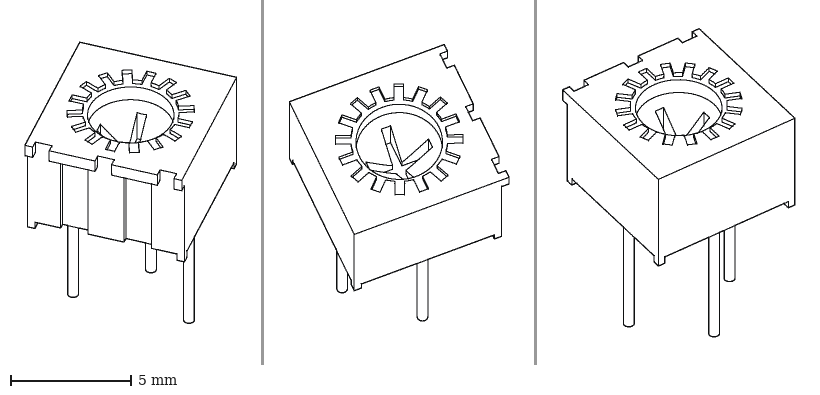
import cadquery as cq

width = 6.9
depth = 7.0
total_height = 10.7
body_height = 4.39
half_width = width / 2
back_y = depth / 2

lip_projection = 0.34
lip_height = 0.57
front_y = -depth / 2 + lip_projection
notch_width = 0.73
notch_pitch = 2.74

groove_width = 1.2
groove_depth = 0.25
groove_offset = 1.39

foot_size = 0.33
foot_height = 0.34

dial_depth = 0.2
dial_radius = 2.01
tick_count = 16
tick_width = 0.41
tick_reach = 2.64

bowl_radius = 3.6 / 2
bowl_wall_height = 0.7
cone_depth = bowl_radius
cross_length = 2.82
cross_width = 0.42
bowl_rim_z = -dial_depth - bowl_wall_height
bowl_bottom_z = bowl_rim_z - cone_depth

pin_diameter = 0.46
pin_pitch = 2.55
pin_row_y = 0.03
pin_length = total_height - body_height
pin_positions = [(-pin_pitch, pin_row_y), (0, pin_row_y + pin_pitch), (pin_pitch, pin_row_y)]


def box(x_range, y_range, z_range):
    """Axis-aligned block spanning the given (low, high) ranges."""
    size = [high - low for low, high in (x_range, y_range, z_range)]
    corner = (x_range[0], y_range[0], z_range[0])
    return cq.Workplane("XY").box(*size, centered=False).translate(corner)


def make_block():
    """Main block with the notched lip and the front grooves."""
    block = box((-half_width, half_width), (front_y, back_y), (-body_height, 0))
    for x in (-groove_offset, groove_offset):
        block = block.cut(box(
            (x - groove_width / 2, x + groove_width / 2),
            (front_y, front_y + groove_depth),
            (-body_height, -lip_height),
        ))

    lip = box((-half_width, half_width), (front_y - lip_projection, front_y), (-lip_height, 0))
    for x in (-notch_pitch, 0, notch_pitch):
        lip = lip.cut(box(
            (x - notch_width / 2, x + notch_width / 2),
            (front_y - lip_projection, front_y),
            (-lip_height, 0),
        ))
    return block.union(lip)


def make_feet():
    """Square standoff feet, flush with the sides of the block."""
    feet = []
    for x in (-half_width, half_width - foot_size):
        for y in (front_y, back_y - foot_size):
            feet.append(box(
                (x, x + foot_size),
                (y, y + foot_size),
                (-body_height - foot_height, -body_height),
            ))
    return feet


def make_dial_cutter():
    """Shallow round recess with radial tick marks."""
    dial = cq.Workplane("XY").circle(dial_radius).extrude(-dial_depth)
    tick = box((0, tick_reach), (-tick_width / 2, tick_width / 2), (-dial_depth, 0))
    for index in range(tick_count):
        dial = dial.union(tick.rotate((0, 0, 0), (0, 0, 1), index * 360 / tick_count))
    return dial


def make_bowl_cutter():
    """Straight-walled bore ending in a cone, crossed by the driver slots."""
    bowl = (
        cq.Workplane("XZ")
        .polyline([(0, 0), (bowl_radius, 0), (bowl_radius, bowl_rim_z), (0, bowl_bottom_z)])
        .close()
        .revolve(360, (0, 0, 0), (0, 1, 0))
    )
    cross = (
        cq.Workplane("XY", origin=(0, 0, bowl_bottom_z))
        .rect(cross_length, cross_width)
        .extrude(cone_depth)
    )
    return bowl.union(cross).union(cross.rotate((0, 0, 0), (0, 0, 1), 90))


def make_housing():
    housing = make_block()
    for foot in make_feet():
        housing = housing.union(foot)
    return housing.cut(make_dial_cutter()).cut(make_bowl_cutter())


def make_pin(x, y):
    """Round terminal pin starting at the underside of the block."""
    return (
        cq.Workplane("XY", origin=(x, y, -body_height))
        .circle(pin_diameter / 2)
        .extrude(-pin_length)
    )


housing = make_housing()
pins = [make_pin(x, y).val() for x, y in pin_positions]

result = cq.Compound.makeCompound([housing.val(), *pins])